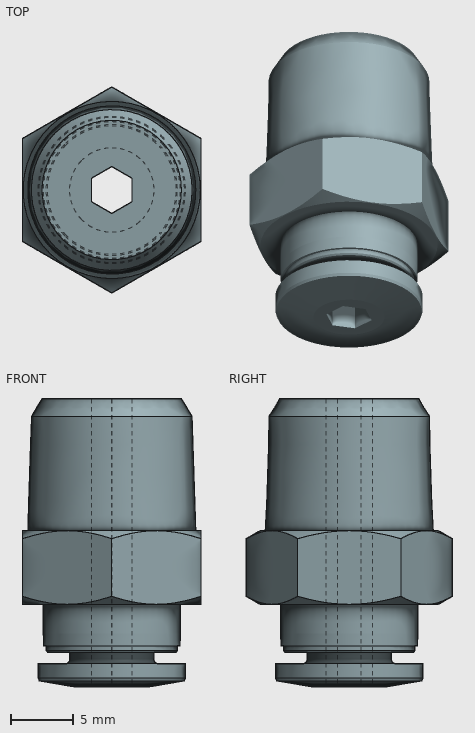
import cadquery as cq
import math

overall_height = 23.1
button_cone_top = 0.5
button_edge_top = 0.75
button_top = 1.9
neck_flare_top = 2.29
collar_bottom = 2.8
lip_chamfer_top = 2.93
lip_top = 3.3
collar_step = 4.3
hex_bottom = 6.6
hex_top = 12.57
taper_top = 21.7

button_face_diameter = 5.68
button_cone_diameter = 11.65
button_diameter = 11.8
neck_flare_diameter = 7.3
neck_diameter = 6.77
lip_chamfer_diameter = 10.3
lip_diameter = 10.5
collar_lower_diameter = 10.95
collar_diameter = 11.0
taper_bottom_diameter = 13.47
taper_top_diameter = 12.87
end_face_diameter = 11.15

hex_across_flats = 14.3
hex_chamfer_diameter = 14.18
hex_chamfer_angle = 30.0
key_across_flats = 3.23


def hexagon_prism(across_flats, bottom, top):
    """Upright hexagonal prism with two flats facing along X."""
    across_corners = across_flats / math.cos(math.radians(30))
    prism = cq.Workplane("XY").polygon(6, across_corners).extrude(top - bottom)
    return prism.rotate((0, 0, 0), (0, 0, 1), 30).translate((0, 0, bottom))


def revolve_about_z(profile):
    """Turn a closed (radius, height) profile about the Z axis."""
    return profile.close().revolve(360, (0, 0, 0), (0, 1, 0))


def lower_body():
    """Release button, flared neck and stepped collar."""
    flare_width = (neck_flare_diameter - neck_diameter) / 2
    flare_height = neck_flare_top - button_top
    midway = 1 - math.sqrt(0.5)
    flare_middle = (neck_diameter / 2 + flare_width * midway, button_top + flare_height * midway)
    profile = (
        cq.Workplane("XZ")
        .moveTo(0, 0)
        .lineTo(button_face_diameter / 2, 0)
        .lineTo(button_cone_diameter / 2, button_cone_top)
        .lineTo(button_diameter / 2, button_edge_top)
        .lineTo(button_diameter / 2, button_top)
        .lineTo(neck_flare_diameter / 2, button_top)
        .threePointArc(flare_middle, (neck_diameter / 2, neck_flare_top))
        .lineTo(neck_diameter / 2, collar_bottom)
        .lineTo(lip_chamfer_diameter / 2, collar_bottom)
        .lineTo(lip_diameter / 2, lip_chamfer_top)
        .lineTo(lip_diameter / 2, lip_top)
        .lineTo(collar_lower_diameter / 2, lip_top)
        .lineTo(collar_diameter / 2, collar_step)
        .lineTo(collar_diameter / 2, hex_bottom)
        .lineTo(0, hex_bottom)
    )
    return revolve_about_z(profile)


def wrench_hexagon():
    """Hexagon with its corners turned down by a cone at both ends."""
    prism = hexagon_prism(hex_across_flats, hex_bottom, hex_top)
    outer_radius = hex_across_flats / math.cos(math.radians(30)) / 2
    end_radius = hex_chamfer_diameter / 2
    drop = (outer_radius - end_radius) * math.tan(math.radians(hex_chamfer_angle))
    profile = (
        cq.Workplane("XZ")
        .moveTo(0, hex_bottom)
        .lineTo(end_radius, hex_bottom)
        .lineTo(outer_radius, hex_bottom + drop)
        .lineTo(outer_radius, hex_top - drop)
        .lineTo(end_radius, hex_top)
        .lineTo(0, hex_top)
    )
    return prism.intersect(revolve_about_z(profile))


def tapered_end():
    """Tapered pipe end with a chamfered rim."""
    profile = (
        cq.Workplane("XZ")
        .moveTo(0, hex_top)
        .lineTo(taper_bottom_diameter / 2, hex_top)
        .lineTo(taper_top_diameter / 2, taper_top)
        .lineTo(end_face_diameter / 2, overall_height)
        .lineTo(0, overall_height)
    )
    return revolve_about_z(profile)


key_passage = hexagon_prism(key_across_flats, 0, overall_height)
result = lower_body().union(wrench_hexagon()).union(tapered_end()).cut(key_passage)